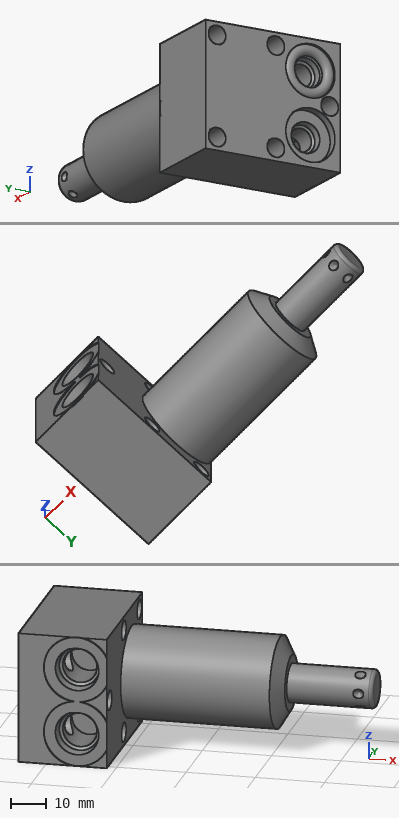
import cadquery as cq
import math

overall_length = 96.9
block_length = 25.5
block_width = 43.9
block_height = 38.1
block_back_y = 13.4
block_front_y = block_back_y - block_width

cylinder_diameter = 26.6
cylinder_shoulder_x = 68.4
cylinder_end_x = 71.6
nose_diameter = 16.1
ring_protrusion = 0.6
rod_diameter = 11.1
rod_end_x = overall_length - ring_protrusion
rod_fillet = 1.2
dimple_diameter = 3.0
dimple_depth = 1.5
dimple_count = 6
dimple_x = 92.25

mount_hole_diameter = 5.6
mount_row_z = 15.1
outer_mount_y = block_front_y + 40.1
inner_mount_y = block_front_y + 21.0
front_mount_y = block_front_y + 3.5

port_z = 9.5
front_port_x = 16.9
spotface_diameter = 19.1
spotface_depth = 0.3
front_port_diameter = 12.5
front_port_floor_diameter = 11.6
front_port_bore_depth = 3.2
front_drill_diameter = 9.9
front_drill_depth = 15.0
port_cone_length = 0.6
face_port_y = block_front_y + 9.8
recess_diameter = 16.0
recess_depth = 2.7
face_port_diameter = 9.2
face_port_floor_diameter = 8.5
face_port_bore_depth = 4.8
face_drill_diameter = 7.0

ring_section_diameter = recess_depth + ring_protrusion
ring_mean_radius = (recess_diameter - ring_section_diameter) / 2


def port_cutter(profile):
    """Revolved cutter pointing along +Z from the origin, given as (diameter, depth) corners."""
    corners = [(diameter / 2, depth) for diameter, depth in profile]
    end_depth = profile[-1][1]
    outline = cq.Workplane("XZ").polyline([(0, 0), *corners, (0, end_depth)]).close()
    return outline.revolve(360, (0, 0, 0), (0, 1, 0))


def make_block():
    block = cq.Workplane("XY").box(
        block_length, block_width, block_height, centered=(False, False, True)
    )
    return block.translate((0, block_front_y, 0))


def make_cylinder_and_rod():
    """Revolved cylinder with a conical nose and a rounded rod."""
    cylinder_radius = cylinder_diameter / 2
    rod_radius = rod_diameter / 2
    arc_offset = rod_fillet * math.sqrt(0.5)
    arc_middle = (rod_end_x - rod_fillet + arc_offset, rod_radius - rod_fillet + arc_offset)
    return (
        cq.Workplane("XY")
        .moveTo(block_length, 0)
        .lineTo(block_length, cylinder_radius)
        .lineTo(cylinder_shoulder_x, cylinder_radius)
        .lineTo(cylinder_end_x, nose_diameter / 2)
        .lineTo(cylinder_end_x, rod_radius)
        .lineTo(rod_end_x - rod_fillet, rod_radius)
        .threePointArc(arc_middle, (rod_end_x, rod_radius - rod_fillet))
        .lineTo(rod_end_x, 0)
        .close()
        .revolve(360, (0, 0, 0), (1, 0, 0))
    )


def cut_dimples(body):
    """Conical dimples spaced evenly around the rod, sunk towards its axis."""
    rod_radius = rod_diameter / 2
    for index in range(dimple_count):
        angle = 2 * math.pi * index / dimple_count
        outward_y = math.cos(angle)
        outward_z = math.sin(angle)
        dimple = cq.Solid.makeCone(
            dimple_diameter,
            0,
            2 * dimple_depth,
            cq.Vector(
                dimple_x,
                (rod_radius + dimple_depth) * outward_y,
                (rod_radius + dimple_depth) * outward_z,
            ),
            cq.Vector(0, -outward_y, -outward_z),
        )
        body = body.cut(cq.Workplane(dimple))
    return body


def cut_mounting_holes(body):
    centres = [(front_mount_y, 0)]
    for y in (outer_mount_y, inner_mount_y):
        for z in (-mount_row_z, mount_row_z):
            centres.append((y, z))
    holes = cq.Workplane("YZ").pushPoints(centres).circle(mount_hole_diameter / 2).extrude(block_length)
    return body.cut(holes)


def cut_ports(body):
    front_cutter = port_cutter(
        [
            (spotface_diameter, 0),
            (spotface_diameter, spotface_depth),
            (front_port_diameter, spotface_depth),
            (front_port_floor_diameter, front_port_bore_depth),
            (front_drill_diameter, front_port_bore_depth + port_cone_length),
            (front_drill_diameter, front_drill_depth),
        ]
    ).rotate((0, 0, 0), (1, 0, 0), -90)
    face_cutter = port_cutter(
        [
            (recess_diameter, 0),
            (recess_diameter, recess_depth),
            (face_port_diameter, recess_depth),
            (face_port_floor_diameter, face_port_bore_depth),
            (face_drill_diameter, face_port_bore_depth + port_cone_length),
            (face_drill_diameter, front_port_x),
        ]
    ).rotate((0, 0, 0), (0, 1, 0), 90)
    for z in (-port_z, port_z):
        body = body.cut(front_cutter.translate((front_port_x, block_front_y, z)))
        body = body.cut(face_cutter.translate((0, face_port_y, z)))
    return body


def make_sealing_ring():
    ring_centre = cq.Vector(recess_depth - ring_section_diameter / 2, face_port_y, port_z)
    return cq.Solid.makeTorus(ring_mean_radius, ring_section_diameter / 2, ring_centre, cq.Vector(1, 0, 0))


housing = make_block().union(make_cylinder_and_rod())
housing = cut_dimples(housing)
housing = cut_mounting_holes(housing)
housing = cut_ports(housing)
sealing_ring = make_sealing_ring()

result = cq.Compound.makeCompound([housing.val(), sealing_ring])